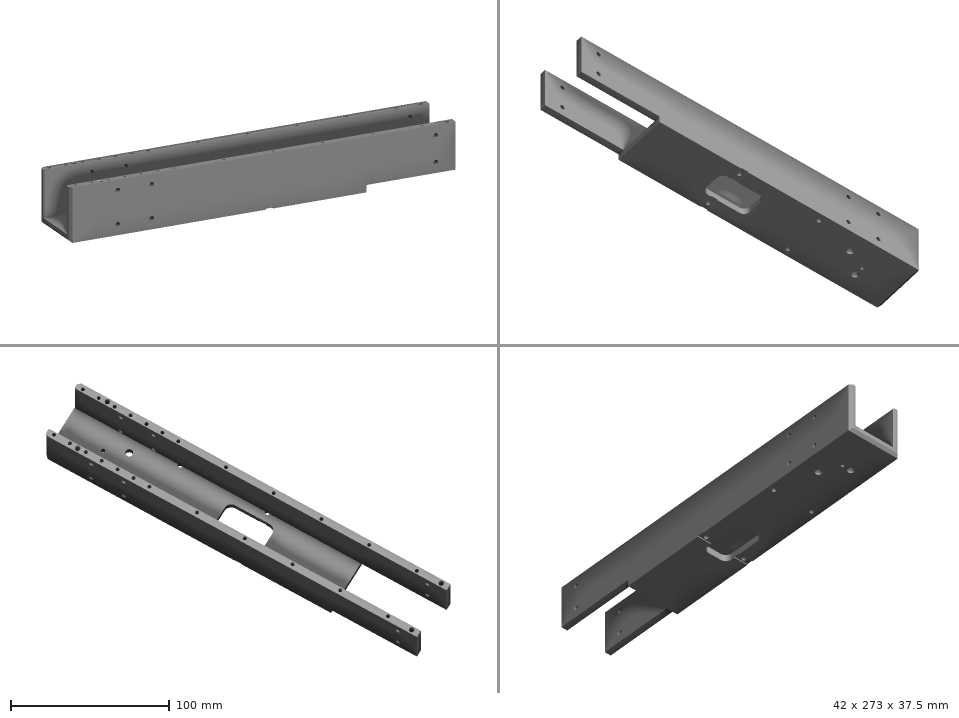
import cadquery as cq

width = 42.0
length = 273.0
height = 37.5
wall = 5.0
floor_thickness = 5.0
floor_length = 210
outer_end_chamfer = 2.0
inner_end_chamfer = 0.8
inner_width = width - 2 * wall
wall_inner_x = inner_width / 2

edge_hole_diameter = 2.5
edge_hole_depth = 8.0
edge_hole_x = 18.0
first_edge_hole_y = 5.0
wide_pitch_start_y = 75.0
wide_pitch = 35.0
wide_pitch_count = 6
close_pitch_count = 6
close_pitch = (wide_pitch_start_y - first_edge_hole_y) / close_pitch_count

sunk_hole_diameter = 3.0
sunk_hole_sink_diameter = 4.0
sunk_hole_sink_angle = 90.0
sunk_hole_x = (width - wall) / 2
sunk_hole_ys = (22.5, 267.5)

side_hole_diameter = 3.3
side_hole_top_z = 30.25
front_side_hole_ys = (34.0, 58.0)
front_side_hole_low_z = 7.25
back_side_hole_y = 259.0
back_side_hole_low_z = 12.25

window_width = 20.0
window_length = 35.0
window_radius = 5.0
window_y = 134.0
large_floor_hole_diameter = 5.0
large_floor_hole_points = ((-7.0, 45.5), (7.0, 30.5))
small_floor_hole_diameter = 2.5
small_floor_hole_y = 30.5

corner_hole_diameter = 3.2
corner_hole_x = wall_inner_x
corner_hole_depth = 8
corner_hole_ys = (77.5, 141.5)

groove_width = 5.0
groove_depth = 0.7
groove_y = 141.5


def make_channel():
    body = cq.Workplane("XY").box(width, length, height, centered=(True, False, False))
    body = body.faces("<Y").edges("<X or >X or <Z").chamfer(outer_end_chamfer)
    trough = (
        cq.Workplane("XY", origin=(0, 0, floor_thickness))
        .box(inner_width, length, height, centered=(True, False, False))
    )
    back_relief = (
        cq.Workplane("XY", origin=(0, floor_length, 0))
        .box(width, length, floor_thickness, centered=(True, False, False))
    )
    body = body.cut(trough).cut(back_relief)
    selection_margin = 0.1
    inner_front_edges = cq.selectors.BoxSelector(
        (-wall_inner_x - selection_margin, -selection_margin, floor_thickness),
        (wall_inner_x + selection_margin, selection_margin, height),
    )
    return body.edges("|Z").edges(inner_front_edges).chamfer(inner_end_chamfer)


def both_walls(x, ys):
    return [(side * x, y) for side in (-1, 1) for y in ys]


def drill_top_edges(body):
    close_ys = [first_edge_hole_y + i * close_pitch for i in range(close_pitch_count)]
    wide_ys = [wide_pitch_start_y + i * wide_pitch for i in range(wide_pitch_count)]
    top = cq.Workplane("XY", origin=(0, 0, height))
    tapped = (
        top.pushPoints(both_walls(edge_hole_x, close_ys + wide_ys))
        .circle(edge_hole_diameter / 2)
        .extrude(-edge_hole_depth)
    )
    body = body.cut(tapped)
    return (
        body.copyWorkplane(top)
        .pushPoints(both_walls(sunk_hole_x, sunk_hole_ys))
        .cskHole(sunk_hole_diameter, sunk_hole_sink_diameter, sunk_hole_sink_angle, edge_hole_depth)
    )


def drill_sides(body):
    points = [(y, z) for y in front_side_hole_ys for z in (front_side_hole_low_z, side_hole_top_z)]
    points += [(back_side_hole_y, z) for z in (back_side_hole_low_z, side_hole_top_z)]
    drills = (
        cq.Workplane("YZ")
        .pushPoints(points)
        .circle(side_hole_diameter / 2)
        .extrude(width, both=True)
    )
    return body.cut(drills)


def bottom_drill(points, diameter, depth=floor_thickness):
    return cq.Workplane("XY").pushPoints(points).circle(diameter / 2).extrude(depth)


def cut_floor(body):
    window = (
        cq.Workplane("XY", origin=(0, window_y, 0))
        .rect(window_width, window_length)
        .extrude(floor_thickness)
        .edges("|Z")
        .fillet(window_radius)
    )
    groove = (
        cq.Workplane("XY", origin=(0, groove_y, 0))
        .rect(width, groove_width)
        .extrude(groove_depth)
    )
    corner_points = both_walls(corner_hole_x, corner_hole_ys)
    return (
        body.cut(window)
        .cut(bottom_drill(large_floor_hole_points, large_floor_hole_diameter))
        .cut(bottom_drill([(0, small_floor_hole_y)], small_floor_hole_diameter))
        .cut(bottom_drill(corner_points, corner_hole_diameter, corner_hole_depth))
        .cut(groove)
    )


result = cut_floor(drill_sides(drill_top_edges(make_channel())))